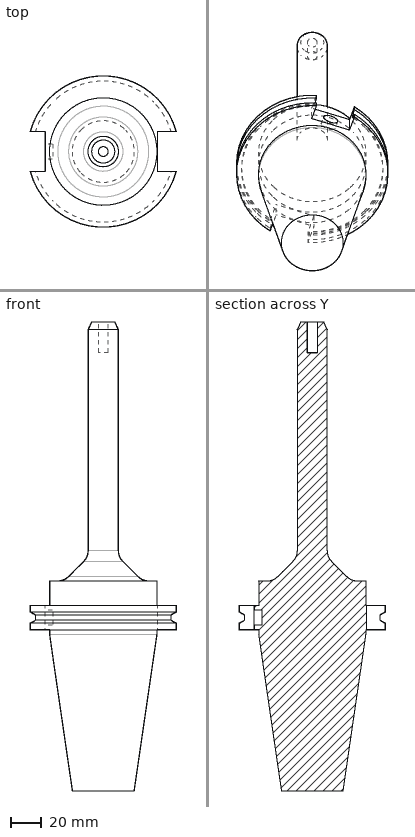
import cadquery as cq
import math

gauge_radius = 34.925
taper_length = 101.6
taper_slope = 7 / 24 / 2
tail_radius = gauge_radius - taper_length * taper_slope

flange_radius = 49.2125
flange_bottom = 3.175
flange_top = 19.05
flange_middle = (flange_bottom + flange_top) / 2
groove_floor_radius = 45.9
groove_floor_width = 3.4
groove_flank_angle = 30
groove_rise = (flange_radius - groove_floor_radius) * math.tan(math.radians(groove_flank_angle))
groove_floor_low = flange_middle - groove_floor_width / 2
groove_floor_high = flange_middle + groove_floor_width / 2

boss_radius = gauge_radius
boss_top = 35.0

nose_top = 203.2
shaft_radius = 9.9
tip_radius = 7.5
tip_height = 5.0
cone_angle = math.radians(45)
cone_base_radius = 25.4
cone_top = boss_top + (cone_base_radius - shaft_radius)
blend_radius = 10.0

blend_tangent = blend_radius * math.tan(cone_angle / 2)
blend_diagonal = blend_tangent * math.cos(cone_angle)
blend_middle = blend_radius * math.sin(cone_angle / 2)
blend_middle_offset = blend_radius * (1 - math.cos(cone_angle / 2))

slot_width = 25.92
slot_floor_left = 37.7
slot_floor_right = 35.3

tool_bore_diameter = 6.35
tool_bore_depth = 20.0
chip_hole_diameter = 9.6
chip_hole_depth = 5.0


def revolved_body():
    """Shank, flange, boss, cone and shaft as one body of revolution about Z."""
    profile = (
        cq.Workplane("XZ")
        .moveTo(0, -taper_length)
        .lineTo(tail_radius, -taper_length)
        .lineTo(gauge_radius, 0)
        .lineTo(gauge_radius, flange_bottom)
        .lineTo(flange_radius, flange_bottom)
        .lineTo(flange_radius, groove_floor_low - groove_rise)
        .lineTo(groove_floor_radius, groove_floor_low)
        .lineTo(groove_floor_radius, groove_floor_high)
        .lineTo(flange_radius, groove_floor_high + groove_rise)
        .lineTo(flange_radius, flange_top)
        .lineTo(boss_radius, flange_top)
        .lineTo(boss_radius, boss_top)
        .lineTo(cone_base_radius + blend_tangent, boss_top)
        .threePointArc(
            (cone_base_radius + blend_tangent - blend_middle, boss_top + blend_middle_offset),
            (cone_base_radius - blend_diagonal, boss_top + blend_diagonal),
        )
        .lineTo(shaft_radius + blend_diagonal, cone_top - blend_diagonal)
        .threePointArc(
            (shaft_radius + blend_middle_offset, cone_top + blend_tangent - blend_middle),
            (shaft_radius, cone_top + blend_tangent),
        )
        .lineTo(shaft_radius, nose_top - tip_height)
        .lineTo(tip_radius, nose_top)
        .lineTo(0, nose_top)
        .close()
    )
    return profile.revolve(360, (0, 0, 0), (0, 1, 0))


def drive_slot(side, floor_distance):
    """Cutter for a slot through the flange, open outward; side is -1 or +1 along X."""
    length = flange_radius
    center_x = side * (floor_distance + length / 2)
    return (
        cq.Workplane("XY", origin=(center_x, 0, flange_middle))
        .box(length, slot_width, flange_top - flange_bottom)
    )


def tool_bore():
    """Cutter for the blind bore in the end of the shaft."""
    return (
        cq.Workplane("XY", origin=(0, 0, nose_top))
        .circle(tool_bore_diameter / 2)
        .extrude(-tool_bore_depth)
    )


def chip_hole():
    """Cutter for the blind hole in the floor of the -X drive slot."""
    return (
        cq.Workplane("YZ", origin=(-slot_floor_left, 0, flange_middle))
        .circle(chip_hole_diameter / 2)
        .extrude(chip_hole_depth)
    )


result = (
    revolved_body()
    .cut(drive_slot(-1, slot_floor_left))
    .cut(drive_slot(1, slot_floor_right))
    .cut(tool_bore())
    .cut(chip_hole())
)